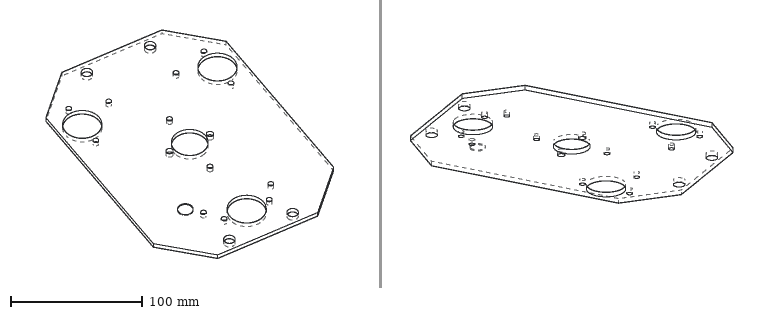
import cadquery as cq

length = 230.0
width = 160.0
thickness = 4.0
corner_chamfer = 35.6

port_diameter = 30.0
center_bore_diameter = 28.0
mount_hole_diameter = 8.7
pin_hole_diameter = 5.5
screw_hole_diameter = 4.4

left_port_x = -58.9
left_port_y = 60.0
right_port_x = 84.0
port_screw_offset = 20.0
center_screw_offset = 30.0
center_pin_offset = 18.0
mount_x = 105.0
mount_y = 28.0
outer_screw_x = 70.0
outer_screw_y = 30.0

recess_diameter = 12.0
recess_depth = 1.0
recess_center = (60.0, -40.0)


def mirrored_corners(x, y):
    """Four points placed symmetrically about both plate axes."""
    return [(sx * x, sy * y) for sx in (-1, 1) for sy in (-1, 1)]


def drill(plate, points, diameter):
    """Drill through holes of one diameter at the given points."""
    cutters = cq.Workplane("XY").pushPoints(points).circle(diameter / 2).extrude(thickness)
    return plate.cut(cutters)


plate = cq.Workplane("XY").box(length, width, thickness, centered=(True, True, False))
plate = plate.edges("|Z").chamfer(corner_chamfer)

left_ports = [(left_port_x, side * left_port_y) for side in (-1, 1)]
right_port = (right_port_x, 0)
plate = drill(plate, left_ports + [right_port], port_diameter)

port_screws = [(x + side * port_screw_offset, y) for x, y in left_ports for side in (-1, 1)]
port_screws += [(right_port_x, side * port_screw_offset) for side in (-1, 1)]
plate = drill(plate, port_screws, screw_hole_diameter)

plate = drill(plate, [(0, 0)], center_bore_diameter)
plate = drill(plate, [(side * center_screw_offset, 0) for side in (-1, 1)], screw_hole_diameter)
plate = drill(plate, [(0, side * center_pin_offset) for side in (-1, 1)], pin_hole_diameter)

plate = drill(plate, mirrored_corners(mount_x, mount_y), mount_hole_diameter)
plate = drill(plate, mirrored_corners(outer_screw_x, outer_screw_y), screw_hole_diameter)

recess = (
    cq.Workplane("XY", origin=(0, 0, thickness - recess_depth))
    .center(*recess_center)
    .circle(recess_diameter / 2)
    .extrude(recess_depth)
)
result = plate.cut(recess)